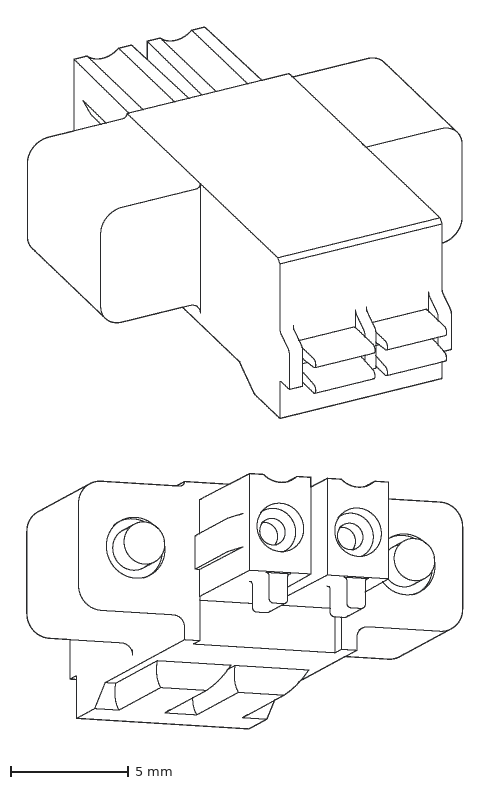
import cadquery as cq


POLE_PITCH = 3.5
POLES = (-POLE_PITCH / 2, POLE_PITCH / 2)
SIDES = (-1, 1)
AXIS_Z = 4.74
OVERLAP = 0.5

BODY_LENGTH = 14.42
BODY_WIDTH = 7.76
BODY_HEIGHT = 7.75
STEP_HEIGHT = 0.88
STEP_START = 12.0
SLOPE_RUN = 1.42
REAR_CHAMFER = 0.2

HUMP_START = 5.02
HUMP_RADIUS = 1.74
HUMP_AXIS_Z = 1.4

RECESS_WIDTH = 6.38
RECESS_DEPTH = 0.85

FLANGE_LENGTH = 6.92
FLANGE_WIDTH = 17.3
FLANGE_TOP = 7.54
FLANGE_BOTTOM = 1.93
FLANGE_RADIUS = 1.02
LOWER_BLEND_RADIUS = 0.5
UPPER_BLEND_RADIUS = BODY_HEIGHT - FLANGE_TOP

SCREW_Y = 6.08
SCREW_DIAMETER = 1.83
SCREW_PROTRUSION = 1.17
SCREW_SEAT_DIAMETER = 2.64
SCREW_SEAT_DEPTH = 0.35

PLUG_LENGTH = 6.48
PLUG_TIP_WIDTH = 2.76
PLUG_ROOT_WIDTH = 2.90
PLUG_TOP = 7.0
PLUG_BOTTOM = 2.80
GROOVE_WIDTH = 1.51
GROOVE_DEPTH = 0.3

SOCKET_DIAMETER = 2.1
SOCKET_INNER_DIAMETER = 1.95
SOCKET_BORE_DEPTH = 0.85
INNER_BORE_DIAMETER = 1.15
CONE_DEPTH = 0.2
INNER_BORE_DEPTH = 1.0

RIB_START = 0.82
RIB_RAMP = 1.32
RIB_OUTER_Y = 3.4
RIB_BOTTOM = 3.97
RIB_TOP = 5.42

LUG_START = 0.26
LUG_LENGTH = 2.23
LUG_WIDTH = 0.84
LUG_BOTTOM = 1.49
LUG_FOOT_RADIUS = 0.2
LUG_ROOT_RADIUS = 0.13

REAR_RIB_LENGTH = 0.89
REAR_RIB_TOP = 4.25
REAR_RIB_TIP_TOP = 3.73
REAR_RIB_BOTTOM = 1.86
REAR_RIB_RADIUS = 0.25
REAR_RIB_FOOT_RADIUS = 0.12
OUTER_RIB_WIDTH = 0.64
MIDDLE_RIB_WIDTH = 0.52
FINGER_END = 16.32
FINGER_WIDTH = 2.83
FINGER_PITCH = 3.43
FINGER_THICKNESS = 0.5
FINGER_TIP_THICKNESS = 0.4
FINGER_TIP_RADIUS = 0.19
UPPER_FINGER_TOP = 3.58
LOWER_FINGER_BOTTOM = 1.91


def block(x0, x1, y_center, width, z0, z1):
    """Box between two X and two Z positions, centred on y_center."""
    box = cq.Workplane("XY").box(x1 - x0, width, z1 - z0, centered=(False, True, False))
    return box.translate((x0, y_center, z0))


def rod(x0, x1, y, z, radius):
    """Cylinder along X."""
    plane = cq.Workplane("YZ", origin=(x0, y, z))
    return plane.circle(radius).extrude(x1 - x0)


def side_prism(points, y_center, width):
    """Extrude an XZ outline symmetrically about y_center."""
    prism = cq.Workplane("XZ").polyline(points).close().extrude(width / 2, both=True)
    return prism.translate((0, y_center, 0))


def make_housing():
    outline = [
        (0, STEP_HEIGHT),
        (STEP_START - SLOPE_RUN, STEP_HEIGHT),
        (STEP_START, 0),
        (BODY_LENGTH, 0),
        (BODY_LENGTH, BODY_HEIGHT),
        (0, BODY_HEIGHT),
    ]
    housing = side_prism(outline, 0, BODY_WIDTH)
    return housing.edges("|Y and >X and >Z").chamfer(REAR_CHAMFER)


def make_hump(y):
    """Flattened cylinder with a sloped front end, ending at the rear slope."""
    envelope = [
        (HUMP_START, STEP_HEIGHT),
        (HUMP_START + SLOPE_RUN, 0),
        (STEP_START, 0),
        (STEP_START, STEP_HEIGHT + OVERLAP),
        (HUMP_START, STEP_HEIGHT + OVERLAP),
    ]
    cylinder = rod(HUMP_START, STEP_START, y, HUMP_AXIS_Z, HUMP_RADIUS)
    return side_prism(envelope, y, POLE_PITCH).intersect(cylinder)


def make_flange():
    flange = block(0, FLANGE_LENGTH, 0, FLANGE_WIDTH, FLANGE_BOTTOM, FLANGE_TOP)
    return flange.edges("|X").fillet(FLANGE_RADIUS)


def make_corner_blend(side, z, direction, radius):
    """Concave fillet between the flange and the housing wall."""
    y = side * BODY_WIDTH / 2
    square = block(0, FLANGE_LENGTH, y + side * radius / 2, radius, 0, radius)
    square = square.translate((0, 0, z if direction > 0 else z - radius))
    return square.cut(rod(0, FLANGE_LENGTH, y + side * radius, z + direction * radius, radius))


def make_plug(y):
    plan = [
        (-PLUG_LENGTH, -PLUG_TIP_WIDTH / 2),
        (0, -PLUG_ROOT_WIDTH / 2),
        (RECESS_DEPTH + OVERLAP, -PLUG_ROOT_WIDTH / 2),
        (RECESS_DEPTH + OVERLAP, PLUG_ROOT_WIDTH / 2),
        (0, PLUG_ROOT_WIDTH / 2),
        (-PLUG_LENGTH, PLUG_TIP_WIDTH / 2),
    ]
    plug = cq.Workplane("XY").polyline(plan).close().extrude(PLUG_TOP - PLUG_BOTTOM)
    plug = plug.translate((0, y, PLUG_BOTTOM))
    groove_radius = ((GROOVE_WIDTH / 2) ** 2 + GROOVE_DEPTH**2) / (2 * GROOVE_DEPTH)
    groove_z = PLUG_TOP - GROOVE_DEPTH + groove_radius
    return plug.cut(rod(-PLUG_LENGTH, 0, y, groove_z, groove_radius)).union(make_lug(y))


def make_lug(y):
    """Coding lug with rounded foot and flared root."""
    half = LUG_WIDTH / 2
    root = LUG_ROOT_RADIUS
    lug_x = -PLUG_LENGTH + LUG_START
    lug_end = lug_x + LUG_LENGTH
    lug = block(lug_x, lug_end, y, LUG_WIDTH, LUG_BOTTOM, PLUG_BOTTOM + OVERLAP)
    lug = lug.edges("|X and <Z").fillet(LUG_FOOT_RADIUS)
    for side in SIDES:
        flare_y = y + side * (half + root / 2)
        flare = block(lug_x, lug_end, flare_y, root, PLUG_BOTTOM - root, PLUG_BOTTOM)
        rounding = rod(lug_x, lug_end, y + side * (half + root), PLUG_BOTTOM - root, root)
        lug = lug.union(flare.cut(rounding))
    return lug


def make_side_rib(side):
    """Rib with a ramped front on the outer wall of a plug."""
    rib_x = -PLUG_LENGTH + RIB_START
    inner_y = POLE_PITCH / 2
    tip_y = inner_y + PLUG_TIP_WIDTH / 2
    plan = [
        (rib_x, side * inner_y),
        (rib_x, side * tip_y),
        (rib_x + RIB_RAMP, side * RIB_OUTER_Y),
        (OVERLAP, side * RIB_OUTER_Y),
        (OVERLAP, side * inner_y),
    ]
    rib = cq.Workplane("XY").polyline(plan).close().extrude(RIB_TOP - RIB_BOTTOM)
    return rib.translate((0, 0, RIB_BOTTOM))


def make_socket(y):
    """Slightly tapered entry bore, narrowed by a flat cone to a smaller blind bore."""
    cone_end_x = SOCKET_BORE_DEPTH + CONE_DEPTH
    profile = [
        (0, 0),
        (0, SOCKET_DIAMETER / 2),
        (SOCKET_BORE_DEPTH, SOCKET_INNER_DIAMETER / 2),
        (cone_end_x, INNER_BORE_DIAMETER / 2),
        (cone_end_x + INNER_BORE_DEPTH, INNER_BORE_DIAMETER / 2),
        (cone_end_x + INNER_BORE_DEPTH, 0),
    ]
    socket = cq.Workplane("XY").polyline(profile).close().revolve(360, (0, 0, 0), (1, 0, 0))
    return socket.translate((-PLUG_LENGTH, y, AXIS_Z))


def make_rear_rib(y, width):
    """Rib with a sloped top, rounded at its tip and blended into the rear wall."""
    tip_x = BODY_LENGTH + REAR_RIB_LENGTH
    outline = [
        (BODY_LENGTH - OVERLAP, REAR_RIB_BOTTOM - OVERLAP),
        (BODY_LENGTH, REAR_RIB_BOTTOM - OVERLAP),
        (BODY_LENGTH, REAR_RIB_BOTTOM),
        (tip_x, REAR_RIB_BOTTOM),
        (tip_x, REAR_RIB_TIP_TOP),
        (BODY_LENGTH, REAR_RIB_TOP),
        (BODY_LENGTH, REAR_RIB_TOP + OVERLAP),
        (BODY_LENGTH - OVERLAP, REAR_RIB_TOP + OVERLAP),
    ]
    rib = side_prism(outline, y, width)
    rounded_edges = [
        (tip_x, REAR_RIB_TIP_TOP, REAR_RIB_RADIUS),
        (BODY_LENGTH, REAR_RIB_TOP, REAR_RIB_RADIUS),
        (BODY_LENGTH, REAR_RIB_BOTTOM, REAR_RIB_FOOT_RADIUS),
    ]
    for x, z, radius in rounded_edges:
        edge = cq.selectors.NearestToPointSelector((x, y, z))
        rib = rib.edges("|Y").edges(edge).fillet(radius)
    return rib


def make_finger(y, outer_z, inward):
    """Contact finger; its inner face tapers from the rear ribs to a rounded tip."""
    root_z = outer_z + inward * FINGER_THICKNESS
    tip_z = outer_z + inward * FINGER_TIP_THICKNESS
    outline = [
        (BODY_LENGTH - OVERLAP, outer_z),
        (FINGER_END, outer_z),
        (FINGER_END, tip_z),
        (BODY_LENGTH + REAR_RIB_LENGTH, root_z),
        (BODY_LENGTH - OVERLAP, root_z),
    ]
    finger = side_prism(outline, y, FINGER_WIDTH)
    return finger.edges("|Y and >X").fillet(FINGER_TIP_RADIUS)


def add_screw(body, side):
    """Sink a shallow seat into the flange face and add the screw end standing in it."""
    y = side * SCREW_Y
    seat = rod(0, SCREW_SEAT_DEPTH, y, AXIS_Z, SCREW_SEAT_DIAMETER / 2)
    screw = rod(-SCREW_PROTRUSION, SCREW_SEAT_DEPTH + OVERLAP, y, AXIS_Z, SCREW_DIAMETER / 2)
    return body.cut(seat).union(screw)


result = make_housing().union(make_flange())
recess = block(0, RECESS_DEPTH, 0, RECESS_WIDTH, STEP_HEIGHT, PLUG_BOTTOM)
result = result.cut(recess)

for side in SIDES:
    result = result.union(make_corner_blend(side, FLANGE_TOP, 1, UPPER_BLEND_RADIUS))
    result = result.union(make_corner_blend(side, FLANGE_BOTTOM, -1, LOWER_BLEND_RADIUS))
    result = add_screw(result, side)
    result = result.union(make_side_rib(side))
    result = result.union(make_rear_rib(side * (BODY_WIDTH - OUTER_RIB_WIDTH) / 2, OUTER_RIB_WIDTH))
    finger_y = side * FINGER_PITCH / 2
    result = result.union(make_finger(finger_y, UPPER_FINGER_TOP, -1))
    result = result.union(make_finger(finger_y, LOWER_FINGER_BOTTOM, 1))

result = result.union(make_rear_rib(0, MIDDLE_RIB_WIDTH))

for pole_y in POLES:
    result = result.union(make_hump(pole_y))
    result = result.union(make_plug(pole_y))
    result = result.cut(make_socket(pole_y))